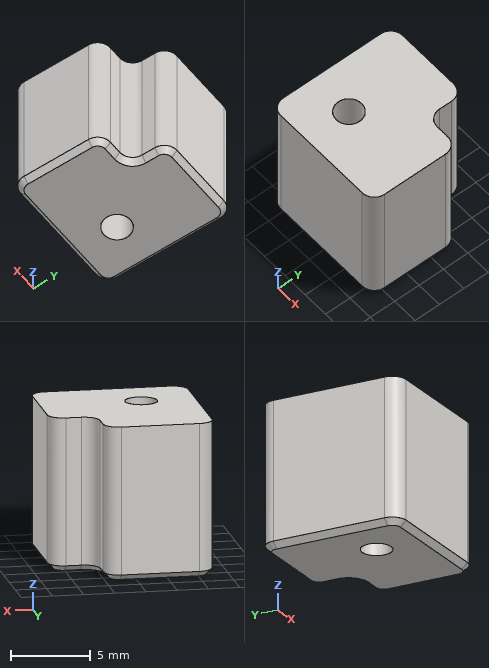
import cadquery as cq

side = 10.0
notch = 3.0
corner_radius = 1.0
bottom_chamfer = 0.4
hole_diameter = 2.05
hole_offset = 3.5

shoulder = side - notch


def make_block():
    """Cube with a notched corner, rounded upright edges and a chamfered base."""
    outline = [
        (0, 0),
        (side, 0),
        (side, shoulder),
        (shoulder, shoulder),
        (shoulder, side),
        (0, side),
    ]
    block = cq.Workplane("XY").polyline(outline).close().extrude(side)
    block = block.edges("|Z").fillet(corner_radius)
    return block.faces("<Z").edges().chamfer(bottom_chamfer)


def make_hole():
    """Cylinder that cuts the vertical through hole."""
    return (
        cq.Workplane("XY")
        .center(hole_offset, hole_offset)
        .circle(hole_diameter / 2)
        .extrude(side)
    )


result = make_block().cut(make_hole())